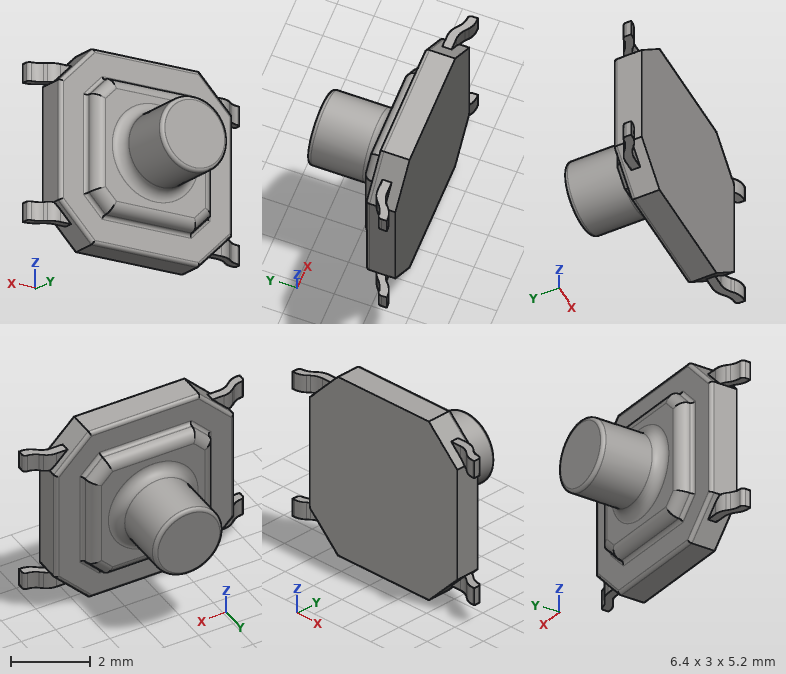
import cadquery as cq
import math


base_width = 5.2
base_corner = 1.0
base_height = 0.8
base_rim_radius = 0.1

cover_width = 3.6
cover_corner = 0.5
cover_height = 0.4
cover_top_radius = 0.3
cover_foot_radius = cover_height - cover_top_radius

button_radius = 1.0
button_tip = 3.0
button_rim_radius = 0.1
button_flare_radius = 0.3

lead_span = 6.4
lead_width = 0.5
lead_thickness = 0.25
lead_height = 0.29
lead_foot_flat = 0.06
lead_tip_radius = 0.1
lead_bend_angle = math.radians(39)
lead_bend_radius = 0.5
lead_outer_edge = (base_width - base_corner) / 2

cover_top = base_height + cover_height


def octagon_prism(width, corner, height):
    """Octagon with 45 degree corners, standing on Y = 0 and rising along +Y."""
    return cq.Workplane("XY").box(width, height, width).translate((0, height / 2, 0)).edges("|Y").chamfer(corner)


def make_base():
    return octagon_prism(base_width, base_corner, base_height).faces(">Y").edges().fillet(base_rim_radius)


def cover_slab(half_width, turn):
    """Long slab with the cover's side profile, turned about Y by the given angle."""
    foot = half_width + cover_foot_radius
    flat = half_width - cover_top_radius
    shoulder = base_height + cover_foot_radius
    foot_center = (foot, shoulder)
    top_center = (flat, shoulder)
    diagonal = math.sqrt(0.5)
    foot_mid = (foot_center[0] - cover_foot_radius * diagonal, foot_center[1] - cover_foot_radius * diagonal)
    top_mid = (top_center[0] + cover_top_radius * diagonal, top_center[1] + cover_top_radius * diagonal)
    slab = (
        cq.Workplane("XY")
        .moveTo(-foot, 0)
        .lineTo(foot, 0)
        .lineTo(foot, base_height)
        .threePointArc(foot_mid, (half_width, shoulder))
        .threePointArc(top_mid, (flat, cover_top))
        .lineTo(-flat, cover_top)
        .threePointArc((-top_mid[0], top_mid[1]), (-half_width, shoulder))
        .threePointArc((-foot_mid[0], foot_mid[1]), (-foot, base_height))
        .close()
        .extrude(base_width, both=True)
    )
    return slab.rotate((0, 0, 0), (0, 1, 0), turn)


def make_cover():
    """Intersecting four turned slabs rounds all eight sides with mitred corners."""
    straight_half = cover_width / 2
    diagonal_half = (cover_width - cover_corner) / math.sqrt(2)
    cover = cover_slab(straight_half, 0)
    cover = cover.intersect(cover_slab(straight_half, 90))
    for turn in (45, 135):
        cover = cover.intersect(cover_slab(diagonal_half, turn))
    return cover


def make_button():
    flare_edge = button_radius + button_flare_radius
    flare_top = cover_top + button_flare_radius
    flare_offset = button_flare_radius * math.sqrt(0.5)
    profile = (
        cq.Workplane("XY")
        .moveTo(0, base_height)
        .lineTo(flare_edge, base_height)
        .lineTo(flare_edge, cover_top)
        .threePointArc((flare_edge - flare_offset, flare_top - flare_offset), (button_radius, flare_top))
        .lineTo(button_radius, button_tip)
        .lineTo(0, button_tip)
        .close()
    )
    return profile.revolve(360, (0, 0, 0), (0, 1, 0)).faces(">Y").edges().fillet(button_rim_radius)


def make_lead():
    """S-bent strip at the +X, +Z corner; its top face is the underside raised by the thickness."""
    sine = math.sin(lead_bend_angle)
    cosine = math.cos(lead_bend_angle)
    half_sine = math.sin(lead_bend_angle / 2)
    half_cosine = math.cos(lead_bend_angle / 2)

    tip_x = lead_span / 2
    foot_x = tip_x - lead_foot_flat
    bends_drop = 2 * lead_bend_radius * (1 - cosine)
    slope_run = (lead_height - bends_drop) * cosine / sine
    base_bend_x = foot_x - 2 * lead_bend_radius * sine - slope_run
    lead_top = lead_height + lead_thickness

    center_distance = lead_bend_radius + lead_tip_radius
    tip_along = (lead_tip_radius - lead_foot_flat) / center_distance
    tip_up = math.sqrt(1 - tip_along**2)
    tip_round_y = lead_thickness + lead_bend_radius - center_distance * tip_up

    def foot_bend(along, up, raised=0):
        return (foot_x - lead_bend_radius * along, lead_bend_radius * (1 - up) + raised)

    def base_bend(along, up, raised=0):
        return (base_bend_x + lead_bend_radius * along, lead_height - lead_bend_radius * (1 - up) + raised)

    lead = (
        cq.Workplane("XY")
        .moveTo(0, lead_height)
        .lineTo(base_bend_x, lead_height)
        .threePointArc(base_bend(half_sine, half_cosine), base_bend(sine, cosine))
        .lineTo(*foot_bend(sine, cosine))
        .threePointArc(foot_bend(half_sine, half_cosine), (foot_x, 0))
        .lineTo(tip_x, 0)
        .lineTo(tip_x, tip_round_y)
        .radiusArc(foot_bend(tip_along, tip_up, lead_thickness), -lead_tip_radius)
        .threePointArc(
            foot_bend(half_sine, half_cosine, lead_thickness),
            foot_bend(sine, cosine, lead_thickness),
        )
        .lineTo(*base_bend(sine, cosine, lead_thickness))
        .threePointArc(base_bend(half_sine, half_cosine, lead_thickness), (base_bend_x, lead_top))
        .lineTo(0, lead_top)
        .close()
        .extrude(lead_width)
    )
    return lead.translate((0, 0, lead_outer_edge - lead_width))


result = make_base().union(make_cover()).union(make_button())
upper_right_lead = make_lead()
upper_left_lead = upper_right_lead.mirror("YZ")
for lead in (upper_right_lead, upper_left_lead):
    result = result.union(lead).union(lead.mirror("XY"))